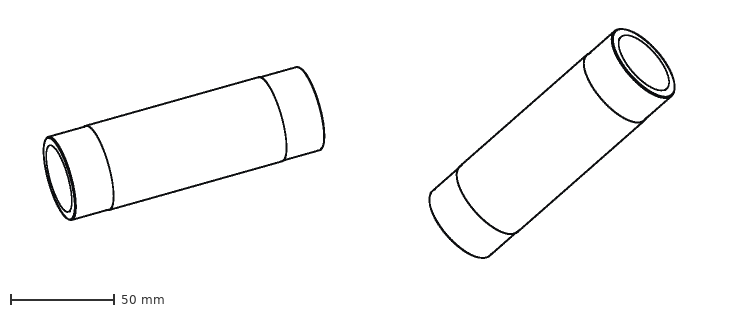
import cadquery as cq

length = 130.0
body_diameter = 42.4
end_diameter = 41.9
bore_diameter = 33.4
end_length = 20.0
rim_chamfer = 0.5


def cylinder_along_y(diameter, span):
    """Solid cylinder centred on the origin with its axis along Y."""
    start_plane = cq.Workplane("XZ", origin=(0, span / 2, 0))
    return start_plane.circle(diameter / 2).extrude(span)


ends = cylinder_along_y(end_diameter, length).faces("<Y or >Y").edges().chamfer(rim_chamfer)

body = cylinder_along_y(body_diameter, length - 2 * end_length)

bore = cylinder_along_y(bore_diameter, length)

result = ends.union(body).cut(bore)